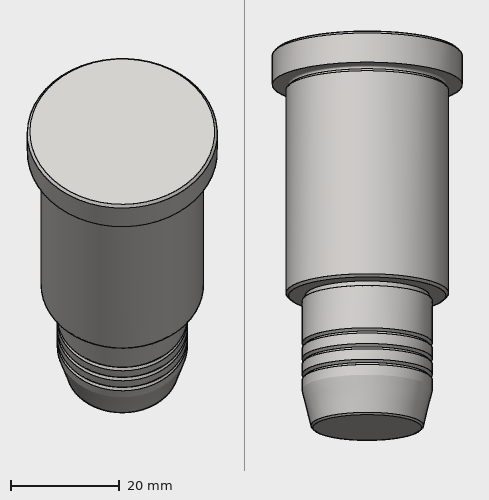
import cadquery as cq

total_length = 71.0
head_height = 6.0
body_bottom = 25.0
taper_height = 7.0

head_radius = 17.5
body_radius = 15.0
pilot_radius = 12.0
tip_radius = 10.4

edge_chamfer = 0.5
tip_chamfer = 0.35
head_relief_height = 1.0
head_relief_depth = 0.5
head_relief_fillet = 0.35
neck_height = 1.0
neck_depth = 0.6

groove_count = 3
groove_depth = 0.5
first_groove_z = 9.5
groove_pitch = 3.0

head_bottom = total_length - head_height
body_top = head_bottom - head_relief_height
relief_radius = body_radius - head_relief_depth
neck_radius = pilot_radius - neck_depth
pilot_top = body_bottom - neck_height


def turned_blank():
    """Revolve the stepped half outline about the Z axis."""
    outline = (
        cq.Workplane("XZ")
        .lineTo(tip_radius - tip_chamfer, 0)
        .lineTo(tip_radius, tip_chamfer)
        .lineTo(pilot_radius, taper_height)
        .lineTo(pilot_radius, pilot_top)
        .lineTo(neck_radius, pilot_top)
        .lineTo(neck_radius, body_bottom)
        .lineTo(body_radius - edge_chamfer, body_bottom)
        .lineTo(body_radius, body_bottom + edge_chamfer)
        .lineTo(body_radius, body_top)
        .lineTo(relief_radius, body_top + head_relief_depth)
        .lineTo(relief_radius, head_bottom - head_relief_fillet)
        .radiusArc((relief_radius + head_relief_fillet, head_bottom), head_relief_fillet)
        .lineTo(head_radius, head_bottom)
        .lineTo(head_radius, total_length - edge_chamfer)
        .lineTo(head_radius - edge_chamfer, total_length)
        .lineTo(0, total_length)
        .close()
    )
    return outline.revolve(360, (0, 0, 0), (0, 1, 0))


def ring_groove(z):
    """Ring that cuts one V groove centred at height z."""
    section = cq.Workplane("XZ").polyline([
        (pilot_radius, z - groove_depth),
        (pilot_radius - groove_depth, z),
        (pilot_radius, z + groove_depth),
        (pilot_radius + groove_depth, z),
    ]).close()
    return section.revolve(360, (0, 0, 0), (0, 1, 0))


result = turned_blank()
for index in range(groove_count):
    result = result.cut(ring_groove(first_groove_z + index * groove_pitch))